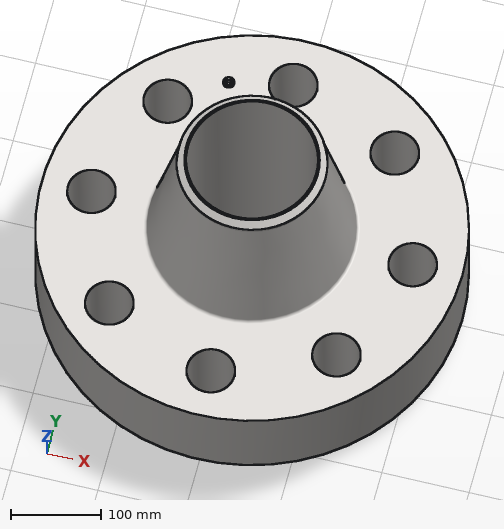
import cadquery as cq
import math

FLANGE_RADIUS = 241.0
TOTAL_HEIGHT = 285.5

RAISED_FACE_RADIUS = 140.0
RAISED_FACE_HEIGHT = 13.0
FLANGE_THICKNESS = 107.5
FLANGE_TOP = RAISED_FACE_HEIGHT + FLANGE_THICKNESS

BORE_RADIUS = 73.5
NECK_BASE_RADIUS = 117.0
NECK_END_RADIUS = 84.0
NECK_END_LENGTH = 6.0
BEVEL_HEIGHT = 6.8
BEVEL_TIP_RADIUS = 75.5
BASE_FILLET_RADIUS = 4.0

BOLT_COUNT = 8
BOLT_CIRCLE_RADIUS = 184.5
BOLT_HOLE_RADIUS = 27.0

PORT_ANGLE = 90 + 180 / BOLT_COUNT
PORT_RADIUS = 6.5
PORT_DEPTH = 1.0
PORT_CORE_RADIUS = 3.5
PORT_CORE_DEPTH = 7.0

SELECT_MARGIN = 0.5


def flange_body():
    """Revolve the raised face, disc and tapered neck around Z."""
    bevel_bottom = TOTAL_HEIGHT - BEVEL_HEIGHT
    taper_top = bevel_bottom - NECK_END_LENGTH
    return (
        cq.Workplane("XZ")
        .moveTo(BORE_RADIUS, 0)
        .lineTo(RAISED_FACE_RADIUS, 0)
        .lineTo(RAISED_FACE_RADIUS, RAISED_FACE_HEIGHT)
        .lineTo(FLANGE_RADIUS, RAISED_FACE_HEIGHT)
        .lineTo(FLANGE_RADIUS, FLANGE_TOP)
        .lineTo(NECK_BASE_RADIUS, FLANGE_TOP)
        .lineTo(NECK_END_RADIUS, taper_top)
        .lineTo(NECK_END_RADIUS, bevel_bottom)
        .lineTo(BEVEL_TIP_RADIUS, TOTAL_HEIGHT)
        .lineTo(BORE_RADIUS, TOTAL_HEIGHT)
        .close()
        .revolve(360, (0, 0), (0, 1))
    )


def neck_base_fillet(body):
    """Round the inside corner where the neck meets the flange top."""
    half_size = NECK_BASE_RADIUS + BASE_FILLET_RADIUS
    corner = cq.selectors.BoxSelector(
        (-half_size, -half_size, FLANGE_TOP - SELECT_MARGIN),
        (half_size, half_size, FLANGE_TOP + SELECT_MARGIN),
        boundingbox=True,
    )
    return body.edges(corner).fillet(BASE_FILLET_RADIUS)


def bolt_holes():
    """Cylinders for the ring of through holes."""
    return (
        cq.Workplane("XY")
        .polarArray(BOLT_CIRCLE_RADIUS, 0, 360, BOLT_COUNT)
        .circle(BOLT_HOLE_RADIUS)
        .extrude(FLANGE_TOP)
    )


def port_hole():
    """Small stepped hole sunk from the flange top."""
    angle = math.radians(PORT_ANGLE)
    centre = (BOLT_CIRCLE_RADIUS * math.cos(angle), BOLT_CIRCLE_RADIUS * math.sin(angle))
    plane = cq.Workplane("XY", origin=(*centre, FLANGE_TOP))
    mouth = plane.circle(PORT_RADIUS).extrude(-PORT_DEPTH)
    core = plane.circle(PORT_CORE_RADIUS).extrude(-PORT_CORE_DEPTH)
    return mouth.union(core)


result = neck_base_fillet(flange_body()).cut(bolt_holes()).cut(port_hole())